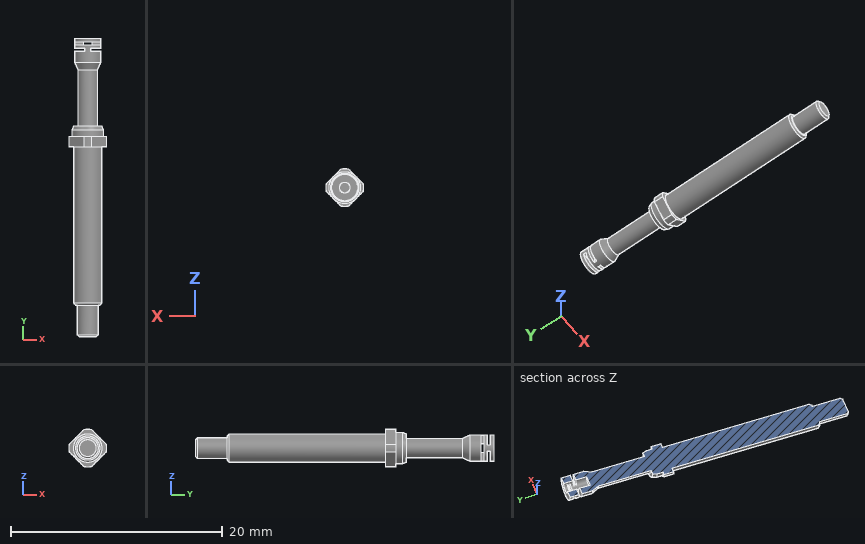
import cadquery as cq


tip_length = 3.0
barrel_length = 15.0
collar_length = 1.0
shoulder_length = 0.6
shoulder_taper_length = 0.4
shaft_length = 5.3
head_cone_length = 0.7
head_length = 2.3

tip_radius = 1.0
barrel_radius = 1.35
collar_corner_radius = 1.8
shoulder_radius = 1.5
shoulder_end_radius = 1.35
shaft_radius = 0.925
head_radius = 1.25

tip_chamfer = 0.2
barrel_chamfer = 0.2

collar_across_flats = 3.0

bore_radius = 0.5
slot_width = 0.27
web_thickness = 0.6
end_to_first_slot = 0.5
slot_pitch = 0.59

barrel_start = -barrel_length
tip_start = barrel_start - tip_length
shoulder_start = collar_length
taper_start = shoulder_start + shoulder_length
shaft_start = taper_start + shoulder_taper_length
cone_start = shaft_start + shaft_length
head_start = cone_start + head_cone_length
head_end = head_start + head_length


def make_turned_body():
    """Revolve the stepped half profile (Y, radius) about the Y axis."""
    profile = [
        (tip_start, 0),
        (tip_start, tip_radius - tip_chamfer),
        (tip_start + tip_chamfer, tip_radius),
        (barrel_start, tip_radius),
        (barrel_start, barrel_radius - barrel_chamfer),
        (barrel_start + barrel_chamfer, barrel_radius),
        (shoulder_start, barrel_radius),
        (shoulder_start, shoulder_radius),
        (taper_start, shoulder_radius),
        (shaft_start, shoulder_end_radius),
        (shaft_start, shaft_radius),
        (cone_start, shaft_radius),
        (head_start, head_radius),
        (head_end, head_radius),
        (head_end, 0),
    ]
    return cq.Workplane("YZ").polyline(profile).close().revolve(360, (0, 0, 0), (1, 0, 0))


def make_collar():
    """Square collar turned 45 degrees, its corners rounded by a coaxial cylinder."""
    square = (
        cq.Workplane("XZ")
        .rect(collar_across_flats, collar_across_flats)
        .extrude(-collar_length)
        .rotate((0, 0, 0), (0, 1, 0), 45)
    )
    disc = cq.Workplane("XZ").circle(collar_corner_radius).extrude(-collar_length)
    return square.intersect(disc)


def make_bore():
    """Axial bore, open at the +Y end and as deep as the cylindrical head."""
    return cq.Workplane("XZ", origin=(0, head_end, 0)).circle(bore_radius).extrude(head_length)


def make_slot_pair(y_center, turn):
    """Cutters from +Z and -Z that leave a central web, turned about Y by the given angle."""
    span = 2 * head_radius
    cutters = cq.Workplane("XY")
    for side in (1, -1):
        cutter = (
            cq.Workplane("XY")
            .box(span, slot_width, span)
            .translate((0, y_center, side * (web_thickness + span) / 2))
        )
        cutters = cutters.add(cutter)
    return cutters.combine().rotate((0, 0, 0), (0, 1, 0), turn)


first_slot_y = head_end - end_to_first_slot
second_slot_y = first_slot_y - slot_pitch

result = make_turned_body().union(make_collar()).cut(make_bore())
result = result.cut(make_slot_pair(first_slot_y, 0))
result = result.cut(make_slot_pair(second_slot_y, 90))